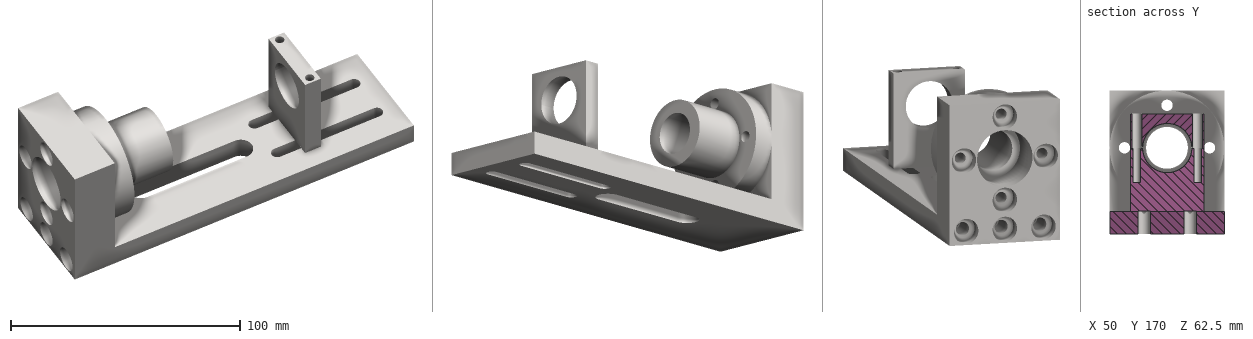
import cadquery as cq

WIDTH = 50.0
TOTAL_LENGTH = 170.0
TOTAL_HEIGHT = 62.5

BLOCK_THICKNESS = 20.0
BLOCK_BORE = 25.2
AXIS_Z = TOTAL_HEIGHT - WIDTH / 2

SCREW_HEAD_DIAMETER = 11.0
SCREW_HEAD_DEPTH = 6.0
FLANGE_SCREW_DIAMETER = 5.0
FLANGE_SCREW_RADIUS = 18.5
BASE_SCREW_DIAMETER = 6.0
BASE_SCREW_SPACING = 17.5
BASE_SCREW_Z = 6.1
BASE_TAP_DIAMETER = 5.0
BASE_TAP_DEPTH = 25.0

BASE_THICKNESS = 10.0
SLOT_TRAVEL = 50.0
CLAMP_SLOT_WIDTH = 5.5
CLAMP_SLOT_SPACING = 20.0
CLAMP_SLOT_MARGIN = 7.3
MIDDLE_SLOT_WIDTH = 10.9
MIDDLE_SLOT_END_Y = 102.8

FLANGE_DIAMETER = WIDTH
FLANGE_THICKNESS = 9.9
SLEEVE_DIAMETER = 30.0
SLEEVE_LENGTH = 25.2
BUSHING_BORE = 18.2

CLAMP_WIDTH = 32.3
CLAMP_THICKNESS = 7.8
CLAMP_Y = 124.5
CLAMP_BORE = 21.2
CAP_HEIGHT = 15.0
CLAMP_SCREW_SPACING = 26.5
CLAMP_SCREW_DIAMETER = 4.0
CLAMP_TAP_DIAMETER = 3.0
CLAMP_TAP_DEPTH = 15.0

FLANGE_SCREW_POINTS = [
    (FLANGE_SCREW_RADIUS, AXIS_Z),
    (-FLANGE_SCREW_RADIUS, AXIS_Z),
    (0, AXIS_Z + FLANGE_SCREW_RADIUS),
    (0, AXIS_Z - FLANGE_SCREW_RADIUS),
]
BASE_SCREW_POINTS = [(step * BASE_SCREW_SPACING, BASE_SCREW_Z) for step in (-1, 0, 1)]
CLAMP_SCREW_POINTS = [(side * CLAMP_SCREW_SPACING / 2, CLAMP_Y) for side in (-1, 1)]


def box(width, y_start, y_end, z_start, z_end):
    """Block centred on X = 0."""
    size = (width, y_end - y_start, z_end - z_start)
    return cq.Workplane("XY").box(*size, centered=(True, False, False)).translate((0, y_start, z_start))


def rods_along_y(points, diameter, y_start, length):
    """Cylinders along +Y at the (x, z) points."""
    plane = cq.Workplane("XZ", origin=(0, y_start, 0))
    return plane.pushPoints(points).circle(diameter / 2).extrude(-length)


def rods_along_z(points, diameter, z_start, length):
    """Cylinders along +Z at the (x, y) points."""
    plane = cq.Workplane("XY", origin=(0, 0, z_start))
    return plane.pushPoints(points).circle(diameter / 2).extrude(length)


def slot_cutter(x, y_end, width):
    """Round-ended slot through the base plate, lying along Y and ending at y_end."""
    length = SLOT_TRAVEL + width
    plane = cq.Workplane("XY").center(x, y_end - length / 2)
    return plane.slot2D(length, width, 90).extrude(BASE_THICKNESS)


def make_end_block():
    block = box(WIDTH, 0, BLOCK_THICKNESS, 0, TOTAL_HEIGHT)
    block = block.cut(rods_along_y([(0, AXIS_Z)], BLOCK_BORE, 0, BLOCK_THICKNESS))
    block = block.cut(rods_along_y(FLANGE_SCREW_POINTS, FLANGE_SCREW_DIAMETER, 0, BLOCK_THICKNESS))
    block = block.cut(rods_along_y(BASE_SCREW_POINTS, BASE_SCREW_DIAMETER, 0, BLOCK_THICKNESS))
    head_points = FLANGE_SCREW_POINTS + BASE_SCREW_POINTS
    return block.cut(rods_along_y(head_points, SCREW_HEAD_DIAMETER, 0, SCREW_HEAD_DEPTH))


def make_base_plate():
    plate = box(WIDTH, BLOCK_THICKNESS, TOTAL_LENGTH, 0, BASE_THICKNESS)
    for side in (-1, 1):
        x = side * CLAMP_SLOT_SPACING / 2
        plate = plate.cut(slot_cutter(x, TOTAL_LENGTH - CLAMP_SLOT_MARGIN, CLAMP_SLOT_WIDTH))
    plate = plate.cut(slot_cutter(0, MIDDLE_SLOT_END_Y, MIDDLE_SLOT_WIDTH))
    return plate.cut(rods_along_y(BASE_SCREW_POINTS, BASE_TAP_DIAMETER, BLOCK_THICKNESS, BASE_TAP_DEPTH))


def make_bushing():
    axis = [(0, AXIS_Z)]
    length = FLANGE_THICKNESS + SLEEVE_LENGTH
    flange = rods_along_y(axis, FLANGE_DIAMETER, BLOCK_THICKNESS, FLANGE_THICKNESS)
    sleeve = rods_along_y(axis, SLEEVE_DIAMETER, BLOCK_THICKNESS, length)
    bushing = flange.union(sleeve)
    bushing = bushing.cut(rods_along_y(axis, BUSHING_BORE, BLOCK_THICKNESS, length))
    screw_holes = rods_along_y(
        FLANGE_SCREW_POINTS, FLANGE_SCREW_DIAMETER, BLOCK_THICKNESS, FLANGE_THICKNESS
    )
    return bushing.cut(screw_holes)


def clamp_half(z_start, z_end):
    """Slice of the clamp between two heights, with its share of the bore."""
    y_start = CLAMP_Y - CLAMP_THICKNESS / 2
    half = box(CLAMP_WIDTH, y_start, y_start + CLAMP_THICKNESS, z_start, z_end)
    return half.cut(rods_along_y([(0, AXIS_Z)], CLAMP_BORE, y_start, CLAMP_THICKNESS))


def make_clamp_support():
    support = clamp_half(BASE_THICKNESS, AXIS_Z)
    tap_bottom = AXIS_Z - CLAMP_TAP_DEPTH
    return support.cut(rods_along_z(CLAMP_SCREW_POINTS, CLAMP_TAP_DIAMETER, tap_bottom, CLAMP_TAP_DEPTH))


def make_clamp_cap():
    cap = clamp_half(AXIS_Z, AXIS_Z + CAP_HEIGHT)
    return cap.cut(rods_along_z(CLAMP_SCREW_POINTS, CLAMP_SCREW_DIAMETER, AXIS_Z, CAP_HEIGHT))


end_block = make_end_block()
base_plate = make_base_plate()
bushing = make_bushing()
clamp_support = make_clamp_support()
clamp_cap = make_clamp_cap()

result = cq.Compound.makeCompound(
    [end_block.val(), base_plate.val(), bushing.val(), clamp_support.val(), clamp_cap.val()]
)